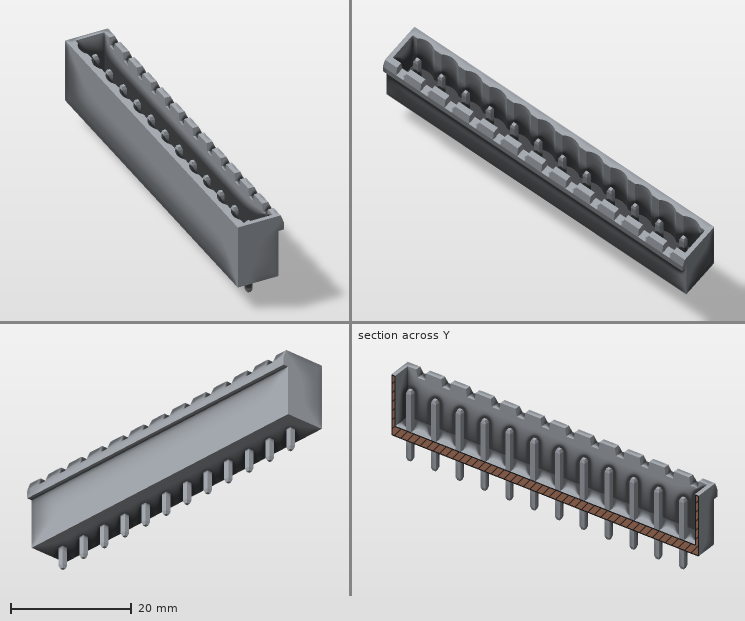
import cadquery as cq
import math

PIN_COUNT = 12
PITCH = 5.08
PIN_SIZE = 1.0
PIN_TIP_SIZE = 0.6
PIN_TIP_LENGTH = 0.6
PIN_TAIL = 4.0
PIN_TOP = 10.0
PIN_FROM_FRONT = 3.8

LENGTH = 62.96
DEPTH = 7.6
HEIGHT = 12.0
END_WALL = 0.8
FRONT_WALL = 1.5
BACK_WALL = 0.7
FLOOR = 2.0

LIP_OVERHANG = 1.0
LIP_HEIGHT = 3.0
LIP_BEVEL_DEPTH = 0.6
LIP_BEVEL_HEIGHT = 1.5

NOTCH_TOP_WIDTH = 2.0
NOTCH_FLOOR_WIDTH = 1.5
NOTCH_DEPTH = 1.5
SCALLOP_WIDTH = 3.6
SCALLOP_DEPTH = 0.6

CAVITY_BACK = DEPTH - BACK_WALL
LIP_BACK = DEPTH + LIP_OVERHANG
PIN_POSITIONS = [(i - (PIN_COUNT - 1) / 2) * PITCH for i in range(PIN_COUNT)]


def make_body():
    """Solid housing with the bevelled lip, extruded along X."""
    profile = [
        (0, 0),
        (DEPTH, 0),
        (DEPTH, HEIGHT - LIP_HEIGHT),
        (LIP_BACK, HEIGHT - LIP_HEIGHT),
        (LIP_BACK, HEIGHT - LIP_BEVEL_HEIGHT),
        (LIP_BACK - LIP_BEVEL_DEPTH, HEIGHT),
        (0, HEIGHT),
    ]
    return cq.Workplane("YZ").polyline(profile).close().extrude(LENGTH / 2, both=True)


def make_cavity():
    """Open-topped socket whose front wall is scalloped in front of each pin."""
    cavity = (
        cq.Workplane("XY", origin=(0, (FRONT_WALL + CAVITY_BACK) / 2, FLOOR))
        .rect(LENGTH - 2 * END_WALL, CAVITY_BACK - FRONT_WALL)
        .extrude(HEIGHT - FLOOR)
    )
    for x in PIN_POSITIONS:
        scallop = (
            cq.Workplane("XY", origin=(x, FRONT_WALL, FLOOR))
            .moveTo(-SCALLOP_WIDTH / 2, 0)
            .threePointArc((0, -SCALLOP_DEPTH), (SCALLOP_WIDTH / 2, 0))
            .close()
            .extrude(HEIGHT - FLOOR)
        )
        cavity = cavity.union(scallop)
    return cavity


def make_notch(x):
    """Slot through the top of the back wall and lip, narrowing towards its floor."""
    notch_floor = HEIGHT - NOTCH_DEPTH
    outline = [
        (x - NOTCH_FLOOR_WIDTH / 2, notch_floor),
        (x + NOTCH_FLOOR_WIDTH / 2, notch_floor),
        (x + NOTCH_TOP_WIDTH / 2, HEIGHT),
        (x - NOTCH_TOP_WIDTH / 2, HEIGHT),
    ]
    return (
        cq.Workplane("XZ", origin=(0, CAVITY_BACK, 0))
        .polyline(outline)
        .close()
        .extrude(CAVITY_BACK - LIP_BACK)
    )


def make_pin(x):
    """Square pin tapered to a smaller square at both ends."""
    shaft_bottom = PIN_TIP_LENGTH - PIN_TAIL
    shaft_top = PIN_TOP - PIN_TIP_LENGTH
    taper = math.degrees(math.atan2((PIN_SIZE - PIN_TIP_SIZE) / 2, PIN_TIP_LENGTH))

    def section(z):
        return cq.Workplane("XY", origin=(x, PIN_FROM_FRONT, z)).rect(PIN_SIZE, PIN_SIZE)

    shaft = section(shaft_bottom).extrude(shaft_top - shaft_bottom)
    upper_tip = section(shaft_top).extrude(PIN_TIP_LENGTH, taper=taper)
    lower_tip = section(shaft_bottom).extrude(-PIN_TIP_LENGTH, taper=taper)
    return shaft.union(upper_tip).union(lower_tip)


result = make_body().cut(make_cavity())
for pin_x in PIN_POSITIONS:
    result = result.cut(make_notch(pin_x))
    result = result.union(make_pin(pin_x))